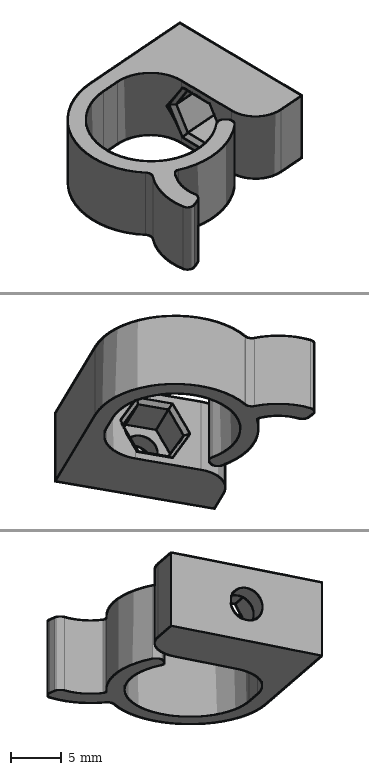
import cadquery as cq
import math

height = 8.0
ring_outer = 8.3
ring_inner = 6.5
block_top = 13.0
inner_corner_radius = 4.5
block_corner_radius = 3.5

ring_end_angle = 43.5
ring_end_fillet = 0.77

tab_x = 10.42
tab_y = -1.1
tab_inner = 4.5
tab_outer = 6.75
tab_start_angle = -137.0
tab_end_angle = -72.3
tab_end_fillet = 0.77
tab_upper_root_fillet = 0.5
tab_lower_root_fillet = 0.77

nut_across_flats = 5.5
nut_corner_radius = nut_across_flats / math.sqrt(3)
mouth_flare = 0.51
nut_depth = 4.5
screw_diameter = 3.5


def polar(radius, angle, center=(0, 0)):
    """Point at an angle in degrees around a centre."""
    a = math.radians(angle)
    return (center[0] + radius * math.cos(a), center[1] + radius * math.sin(a))


def arc_band(inner, outer, start, end, center=(0, 0)):
    """Upright band between two concentric arcs."""
    middle = (start + end) / 2
    return (
        cq.Workplane("XY")
        .moveTo(*polar(inner, start, center))
        .lineTo(*polar(outer, start, center))
        .threePointArc(polar(outer, middle, center), polar(outer, end, center))
        .lineTo(*polar(inner, end, center))
        .threePointArc(polar(inner, middle, center), polar(inner, start, center))
        .close()
        .extrude(height)
    )


def round_upright_edge(body, point, radius):
    """Fillet the upright edge nearest to an XY point."""
    selector = cq.selectors.NearestToPointSelector((*point, height / 2))
    return body.edges("|Z").edges(selector).fillet(radius)


def make_block():
    """Mounting block and the straight side wall that runs down to the ring."""
    return (
        cq.Workplane("XY")
        .moveTo(-ring_outer, 0)
        .lineTo(-ring_outer, block_top)
        .lineTo(ring_outer, block_top)
        .lineTo(ring_outer, ring_inner + block_corner_radius)
        .radiusArc((ring_outer - block_corner_radius, ring_inner), block_corner_radius)
        .lineTo(inner_corner_radius - ring_inner, ring_inner)
        .radiusArc((-ring_inner, ring_inner - inner_corner_radius), -inner_corner_radius)
        .lineTo(-ring_inner, 0)
        .close()
        .extrude(height)
    )


def make_ring():
    """Ring from the side wall round to its rounded free end."""
    ring = arc_band(ring_inner, ring_outer, -180, ring_end_angle)
    for radius in (ring_inner, ring_outer):
        ring = round_upright_edge(ring, polar(radius, ring_end_angle), ring_end_fillet)
    return ring


def make_tab():
    """Curved tab with a rounded tip."""
    center = (tab_x, tab_y)
    tab = arc_band(tab_inner, tab_outer, tab_start_angle, tab_end_angle, center)
    for radius in (tab_inner, tab_outer):
        tab = round_upright_edge(tab, polar(radius, tab_end_angle, center), tab_end_fillet)
    return tab


def tab_root(radius):
    """Point where a tab arc meets the outside of the ring."""
    distance = math.hypot(tab_x, tab_y)
    cosine = (distance**2 + ring_outer**2 - radius**2) / (2 * distance * ring_outer)
    angle = math.degrees(math.atan2(tab_y, tab_x) - math.acos(cosine))
    return polar(ring_outer, angle)


def hex_plane(y):
    """Workplane facing -Y through the middle of the block height."""
    return cq.Workplane("XZ", origin=(0, y, height / 2))


def make_nut_trap():
    """Nut pocket, flared mouth and screw hole, cut from the ring side of the block."""
    mouth_diameter = 2 * (nut_corner_radius + mouth_flare)
    pocket = hex_plane(ring_inner).polygon(6, 2 * nut_corner_radius).extrude(-nut_depth)
    flare = (
        hex_plane(ring_inner)
        .polygon(6, mouth_diameter)
        .workplane(offset=-mouth_flare)
        .polygon(6, 2 * nut_corner_radius)
        .loft(ruled=True)
    )
    entry = hex_plane(ring_inner).polygon(6, mouth_diameter).extrude(ring_inner)
    screw = hex_plane(ring_inner).circle(screw_diameter / 2).extrude(ring_inner - block_top)
    return pocket.union(flare).union(entry).union(screw)


result = make_block().union(make_ring()).union(make_tab())
root_fillets = ((tab_inner, tab_upper_root_fillet), (tab_outer, tab_lower_root_fillet))
for arc_radius, root_fillet in root_fillets:
    result = round_upright_edge(result, tab_root(arc_radius), root_fillet)
result = result.cut(make_nut_trap())